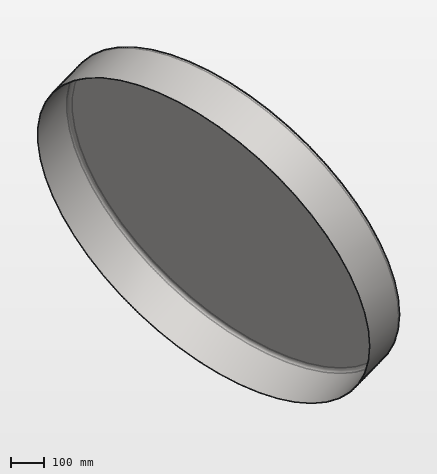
import cadquery as cq

outer_diameter = 1260.0
inner_diameter = 1256.0
depth = 152.0
floor_thickness = 1.9
corner_radius = 13.0

wall_thickness = (outer_diameter - inner_diameter) / 2


def solid_disc(diameter, height, edge_radius):
    """Disc along +Y from the XZ plane, with its +Y rim rounded."""
    disc = cq.Workplane("XZ").circle(diameter / 2).extrude(-height)
    return disc.faces(">Y").edges().fillet(edge_radius)


shell = solid_disc(outer_diameter, depth, corner_radius)
cavity = solid_disc(inner_diameter, depth - floor_thickness, corner_radius - wall_thickness)

result = shell.cut(cavity)